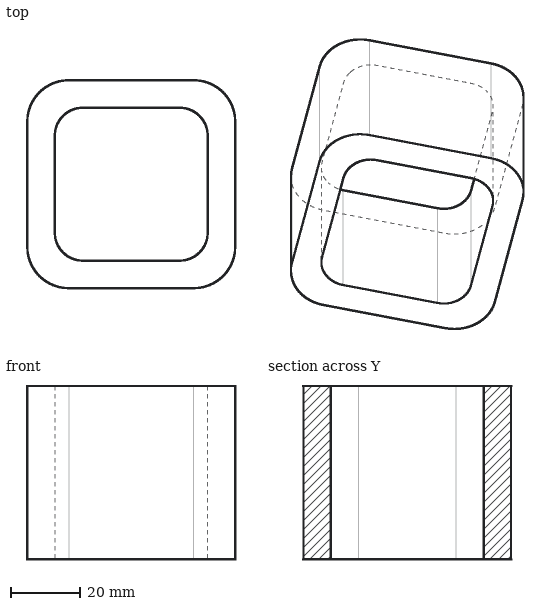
import cadquery as cq

outer_side = 60.0
wall_thickness = 8.0
height = 50.0
outer_corner_radius = 12.0
inner_corner_radius = 8.0

inner_side = outer_side - 2 * wall_thickness


def rounded_square_prism(side, corner_radius):
    """Upright square prism with its four vertical edges rounded."""
    prism = cq.Workplane("XY").rect(side, side).extrude(height)
    return prism.edges("|Z").fillet(corner_radius)


outer_body = rounded_square_prism(outer_side, outer_corner_radius)
through_opening = rounded_square_prism(inner_side, inner_corner_radius)

result = outer_body.cut(through_opening)